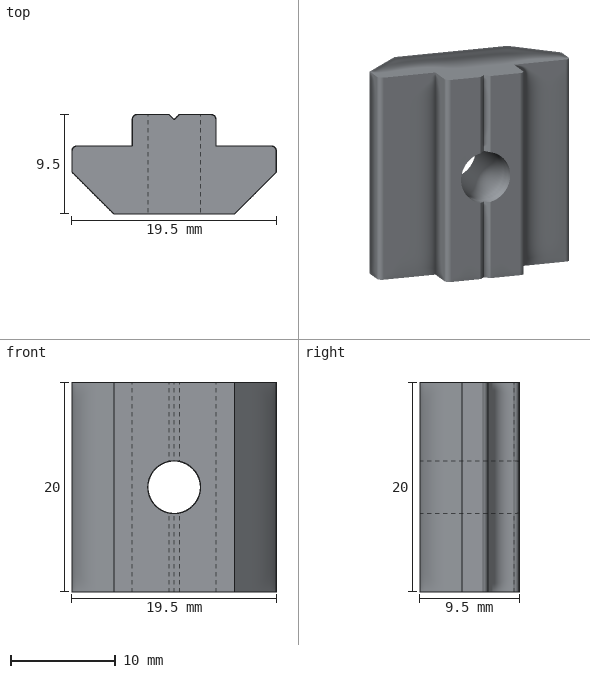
import cadquery as cq

width = 19.5
depth = 9.5
height = 20.0

stem_width = 8.0
stem_depth = 3.0
bevel = 4.0
corner_radius = 0.5
notch_depth = 0.5

hole_diameter = 5.0

front_y = -depth / 2
back_y = depth / 2
shoulder_y = back_y - stem_depth
half_width = width / 2
half_stem = stem_width / 2


def nut_body():
    """Extrude the T-shaped section along Z and round its back corners."""
    right_half = [
        (half_width - bevel, front_y),
        (half_width, front_y + bevel),
        (half_width, shoulder_y),
        (half_stem, shoulder_y),
        (half_stem, back_y),
        (notch_depth, back_y),
    ]
    notch_tip = (0, back_y - notch_depth)
    left_half = [(-x, y) for x, y in reversed(right_half)]
    body = (
        cq.Workplane("XY")
        .polyline(right_half + [notch_tip] + left_half)
        .close()
        .extrude(height / 2, both=True)
    )
    for x, y in [(half_width, shoulder_y), (half_stem, back_y)]:
        for side in (-1, 1):
            corner = cq.selectors.NearestToPointSelector((side * x, y, 0))
            body = body.edges("|Z").edges(corner).fillet(corner_radius)
    return body


def through_hole():
    """Cylinder along Y through the centre of the nut."""
    return cq.Workplane("XZ").circle(hole_diameter / 2).extrude(depth, both=True)


result = nut_body().cut(through_hole())